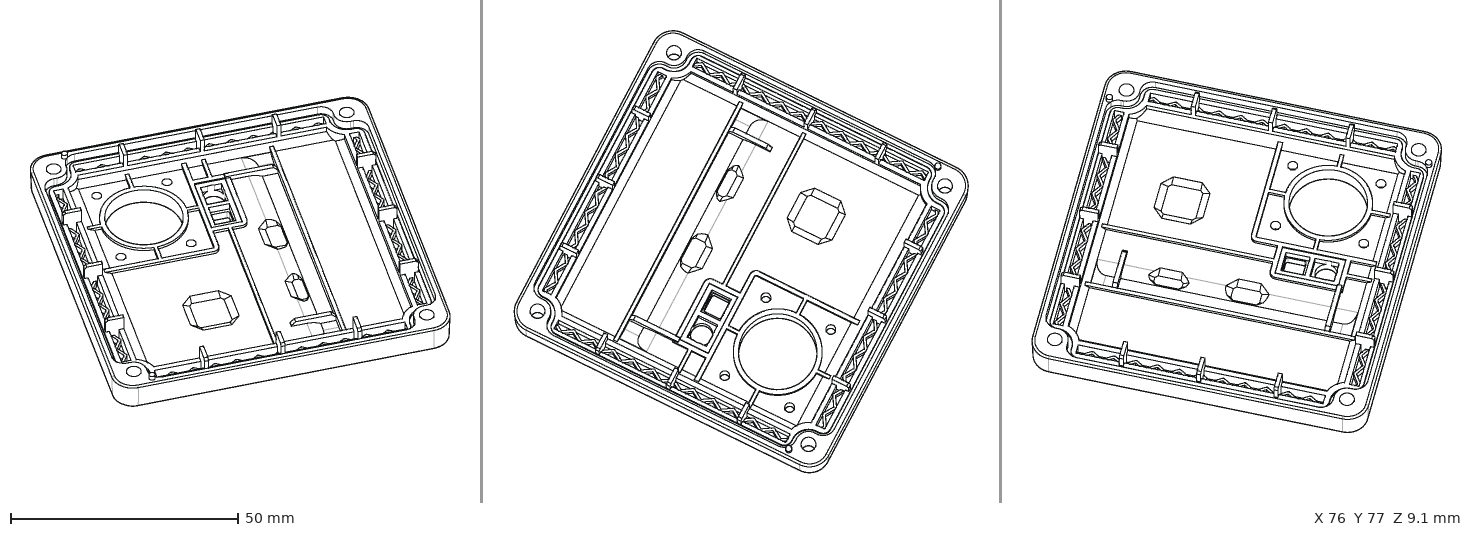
import cadquery as cq
import math

LENGTH_X = 76.0
LENGTH_Y = 77.0
TOTAL_HEIGHT = 9.1
RIM_TOP = 7.2
CORNER_RADIUS = 4.8
BASE_CHAMFER_HEIGHT = 1.3
BASE_CHAMFER_WIDTH = 1.2
WALL_DRAFT = 2.0
RIM_BEVEL_WIDTH = 0.6
RIM_BEVEL_HEIGHT = 0.2

FLOOR_TOP = 3.15
SLOPE_TOP = 4.4
LEDGE_TOP = 5.7
CAVITY_X = 62.5
CAVITY_Y = 63.0
SLOPE_RUN = 1.8
FRONT_SLOPE_RUN = 2.8

SCREW_X = 33.0
SCREW_Y = 33.4
SCREW_RADIUS = 1.6
SCREW_WALL = 2.9
SCREW_COLUMN_RADIUS = 5.4

RIM_WIDTH = 1.6
CHANNEL_WIDTH = 0.9
CHANNEL_FLOOR = 5.1
FLARE_RADIUS = 2.8

TROUGH_WIDTH = 2.15
TROUGH_FLOOR = 2.7
TROUGH_INSET = 1.15
TROUGH_LENGTH_X = 55.9
TROUGH_LENGTH_Y = 57.1
LATTICE_TOP = 4.2
LATTICE_PITCH = 4.9
LATTICE_THICKNESS = 0.6
TAB_LENGTH = 4.15
TAB_THICKNESS = 0.9
TAB_CHAMFER = 0.55
TAB_SPACING = 17.5

PIN_RADIUS = 0.7
PIN_X = 36.1
PIN_Y = -30.1
PIN_TOP = 8.3

FAN_X = -16.5
FAN_Y = -17.4
FAN_BORE_RADIUS = 8.6
FAN_RING_RADIUS = 9.8
FAN_SCREW_SPAN_X = 19.9
FAN_SCREW_SPAN_Y = 16.0
FAN_SCREW_RADIUS = 1.1
FRAME_RIGHT = -2.0
FRAME_TOP_Y = -3.9
FRAME_WALL = 1.1
FRAME_CORNER_RADIUS = 1.55
RIB_THICKNESS = 0.85
RIB_TOP = 3.85

BLOCK_LEFT = -24.9
BLOCK_RIGHT = -8.2
BLOCK_TOP_Y = 4.2
BLOCK_RIM = 1.15
BLOCK_RIM_DROP = 0.3
SOCKET_Y = -0.5
SOCKET_DEPTH_Y = 4.8
ROUND_SOCKET_X = -19.7
SQUARE_SOCKET_X = -13.2
SOCKET_WIDTH = 5.5
ROUND_HOLE_X = -20.1
ROUND_HOLE_RADIUS = 2.5
SQUARE_HOLE_X = -12.85
SQUARE_HOLE_X_SIZE = 4.6
SQUARE_HOLE_Y_SIZE = 4.2
SQUARE_HOLE_CORNER = 0.5
SOCKET_FLOOR = 1.9

CROSS_WALL_Y = 15.55
CROSS_WALL_THICKNESS = 0.9
CROSS_WALL_TOP = 3.85
STRIP_EDGE_Y = 11.55
STRIP_RAMP_END_Y = 8.4
STRIP_DROP = 0.85
STRIP_FLAT_HALF = 26.8
STRIP_HALF = 29.4
STRIP_OVERRUN = 0.8
RAIL_THICKNESS = 1.1
RAIL_X = 24.0
RAIL_TOP = 4.3
RAIL_BEVEL = 1.0
RIGHT_RAIL_END_Y = 4.85

PAD_X = 15.0
PAD_Y = -10.85
PAD_SIZE = 11.1
PAD_DEPTH = 0.8
NOTCH_TOP_Y = 11.25
POCKET_SLOPE = 1.6
POCKET_CORNER = 2.3
POCKET_FLOOR_CORNER = 0.6
NOTCHES = [(-4.5, 9.7, 6.1), (13.0, 9.6, 7.3)]


def box(x0, x1, y0, y1, z0, z1):
    """Upright block between the given limits."""
    return cq.Workplane("XY").box(x1 - x0, y1 - y0, z1 - z0, centered=False).translate((x0, y0, z0))


def cylinder(x, y, radius, z0, z1):
    """Upright cylinder."""
    return cq.Workplane("XY", origin=(x, y, z0)).circle(radius).extrude(z1 - z0)


def screw_points():
    return [(sx * SCREW_X, sy * SCREW_Y) for sx in (-1, 1) for sy in (-1, 1)]


def outer_block():
    """Rounded block whose side walls lean in slightly towards the base."""
    wall_height = RIM_TOP - RIM_BEVEL_HEIGHT
    downward = cq.Plane(origin=(0, 0, wall_height), xDir=(1, 0, 0), normal=(0, 0, -1))
    outline = cq.Sketch().rect(LENGTH_X, LENGTH_Y).vertices().fillet(CORNER_RADIUS)
    wall = cq.Workplane(downward).placeSketch(outline).extrude(wall_height, taper=WALL_DRAFT)
    wall = wall.faces("<Z").chamfer(BASE_CHAMFER_HEIGHT, BASE_CHAMFER_WIDTH)
    rim_angle = math.degrees(math.atan2(RIM_BEVEL_WIDTH, RIM_BEVEL_HEIGHT))
    rim = cq.Workplane("XY", origin=(0, 0, wall_height)).placeSketch(outline)
    return wall.union(rim.extrude(RIM_BEVEL_HEIGHT, taper=rim_angle))


def notched_opening(inset, z0):
    """Rim opening whose corners step inwards around the screw holes, shrunk by inset."""
    half_x = LENGTH_X / 2 - RIM_WIDTH - inset
    half_y = LENGTH_Y / 2 - RIM_WIDTH - inset
    notch_x = SCREW_X - SCREW_WALL - inset
    notch_y = SCREW_Y - SCREW_WALL - inset
    wide = box(-half_x, half_x, -notch_y, notch_y, z0, RIM_TOP)
    tall = box(-notch_x, notch_x, -half_y, half_y, z0, RIM_TOP)
    cross = wide.union(tall)

    def edges_within(x0, x1, y0, y1):
        margin = 0.1
        return cq.selectors.BoxSelector(
            (x0 - margin, y0 - margin, z0), (x1 + margin, y1 + margin, RIM_TOP)
        )

    nooks = edges_within(-notch_x, notch_x, -notch_y, notch_y)
    cross = cross.edges("|Z").edges(nooks).fillet(SCREW_WALL + inset)
    tips = (
        edges_within(-half_x, -half_x, -notch_y, notch_y)
        + edges_within(half_x, half_x, -notch_y, notch_y)
        + edges_within(-notch_x, notch_x, half_y, half_y)
        + edges_within(-notch_x, notch_x, -half_y, -half_y)
    )
    return cross.edges("|Z").edges(tips).fillet(FLARE_RADIUS - inset)


def seal_channel():
    opening = notched_opening(0, LEDGE_TOP)
    channel = notched_opening(0, CHANNEL_FLOOR).cut(notched_opening(CHANNEL_WIDTH, CHANNEL_FLOOR))
    return opening.union(channel)


def cavity():
    """Main recess with sloped lower walls, kept clear of the screw columns."""
    upper = cq.Workplane("XY", origin=(0, 0, SLOPE_TOP)).rect(CAVITY_X, CAVITY_Y)
    upper = upper.extrude(RIM_TOP - SLOPE_TOP)
    slope_shift = (FRONT_SLOPE_RUN - SLOPE_RUN) / 2
    lower = (
        cq.Workplane("XY", origin=(0, 0, FLOOR_TOP))
        .center(0, slope_shift)
        .rect(CAVITY_X - 2 * SLOPE_RUN, CAVITY_Y - SLOPE_RUN - FRONT_SLOPE_RUN)
        .workplane(offset=SLOPE_TOP - FLOOR_TOP)
        .center(0, -slope_shift)
        .rect(CAVITY_X, CAVITY_Y)
        .loft(ruled=True)
    )
    recess = upper.union(lower)
    for x, y in screw_points():
        recess = recess.cut(cylinder(x, y, SCREW_COLUMN_RADIUS, 0, RIM_TOP))
    return recess


def zigzag(length):
    """Zigzag web along X, centred on the origin, with a valley or peak every half pitch."""
    half_pitch = LATTICE_PITCH / 2
    steps = math.ceil(length / 2 / half_pitch)
    reach = (TROUGH_WIDTH - LATTICE_THICKNESS) / 2
    middle = [(i * half_pitch, reach if i % 2 else -reach) for i in range(-steps, steps + 1)]
    half_web = LATTICE_THICKNESS / 2 * math.hypot(half_pitch, 2 * reach) / half_pitch
    upper = [(x, y + half_web) for x, y in middle]
    lower = [(x, y - half_web) for x, y in reversed(middle)]
    web = cq.Workplane("XY", origin=(0, 0, TROUGH_FLOOR)).polyline(upper + lower).close()
    return web.extrude(LATTICE_TOP - TROUGH_FLOOR)


def lattice_void(length):
    """Trough along X with the zigzag web left standing in it."""
    trough = box(
        -length / 2, length / 2, -TROUGH_WIDTH / 2, TROUGH_WIDTH / 2, TROUGH_FLOOR, LEDGE_TOP
    )
    return trough.cut(zigzag(length))


def cross_tabs():
    """Three tall tabs, spaced along X, that bridge one trough."""
    tabs = cq.Workplane("XY")
    half = TAB_THICKNESS / 2
    for i in (-1, 0, 1):
        x = i * TAB_SPACING
        tab = box(x - half, x + half, 0, TAB_LENGTH, TROUGH_FLOOR, TOTAL_HEIGHT)
        tabs = tabs.union(tab.edges(">Z and >Y").chamfer(TAB_CHAMFER))
    return tabs


def around_sides(long_x, long_y):
    """Place a shape on the +Y and -Y sides and another on the +X and -X sides."""
    trough_offset = TROUGH_INSET + TROUGH_WIDTH / 2
    back = long_x.translate((0, CAVITY_Y / 2 + trough_offset, 0))
    right = long_y.translate((0, CAVITY_X / 2 + trough_offset, 0)).rotate((0, 0, 0), (0, 0, 1), -90)
    return back.union(back.mirror("XZ")).union(right).union(right.mirror("YZ"))


def sunken_strip():
    """Lower floor behind the curved ramp, with curved ends."""
    bottom = FLOOR_TOP - STRIP_DROP
    back_y = CROSS_WALL_Y
    run = STRIP_EDGE_Y - STRIP_RAMP_END_Y
    radius = (run**2 + STRIP_DROP**2) / (2 * STRIP_DROP)
    end_run = STRIP_HALF - STRIP_FLAT_HALF
    end_radius = (end_run**2 + STRIP_DROP**2) / (2 * STRIP_DROP)
    ramp = (
        cq.Workplane("YZ", origin=(-STRIP_HALF, 0, 0))
        .moveTo(STRIP_RAMP_END_Y, FLOOR_TOP)
        .radiusArc((STRIP_EDGE_Y, bottom), radius)
        .lineTo(back_y, bottom)
        .lineTo(back_y, FLOOR_TOP)
        .close()
        .extrude(2 * STRIP_HALF)
    )
    span = (
        cq.Workplane("XZ", origin=(0, back_y + STRIP_OVERRUN, 0))
        .moveTo(-STRIP_HALF, FLOOR_TOP)
        .radiusArc((-STRIP_FLAT_HALF, bottom), -end_radius)
        .lineTo(STRIP_FLAT_HALF, bottom)
        .radiusArc((STRIP_HALF, FLOOR_TOP), -end_radius)
        .close()
        .extrude(back_y - STRIP_RAMP_END_Y + 2 * STRIP_OVERRUN)
    )
    return ramp.intersect(span)


def sloped_pocket(x, y, size_x, size_y, depth):
    """Recess in the floor with cut corners and walls that slope inwards."""
    def cut_corner_outline(half_x, half_y, corner):
        inner_x = half_x - corner
        inner_y = half_y - corner
        right = [(inner_x, -half_y), (half_x, -inner_y), (half_x, inner_y), (inner_x, half_y)]
        left = [(-px, py) for px, py in reversed(right)]
        return right + left

    return (
        cq.Workplane("XY", origin=(x, y, FLOOR_TOP - depth))
        .polyline(cut_corner_outline(size_x / 2 - POCKET_SLOPE, size_y / 2 - POCKET_SLOPE, POCKET_FLOOR_CORNER))
        .close()
        .workplane(offset=depth)
        .polyline(cut_corner_outline(size_x / 2, size_y / 2, POCKET_CORNER))
        .close()
        .loft(ruled=True)
    )


def floor_pockets():
    """The square pad recess and the two notches that open into the sunken strip."""
    pockets = sloped_pocket(PAD_X, PAD_Y, PAD_SIZE, PAD_SIZE, PAD_DEPTH)
    for x, width, low_y in NOTCHES:
        length = NOTCH_TOP_Y + POCKET_SLOPE - low_y
        pockets = pockets.union(sloped_pocket(x, low_y + length / 2, width, length, STRIP_DROP))
    return pockets


def fan_frame():
    """Corner frame, ring and four spokes around the fan bore."""
    left = -CAVITY_X / 2
    low = -CAVITY_Y / 2
    frame = box(left, FRAME_RIGHT, low, FRAME_TOP_Y, FLOOR_TOP, RIB_TOP)
    frame = frame.edges("|Z and >X and >Y").fillet(FRAME_CORNER_RADIUS)
    inner = box(left, FRAME_RIGHT - FRAME_WALL, low, FRAME_TOP_Y - FRAME_WALL, FLOOR_TOP, RIB_TOP)
    inner = inner.edges("|Z and >X and >Y").fillet(FRAME_CORNER_RADIUS - FRAME_WALL)
    frame = frame.cut(inner)
    half = RIB_THICKNESS / 2
    frame = frame.union(box(left, FRAME_RIGHT - half, FAN_Y - half, FAN_Y + half, FLOOR_TOP, RIB_TOP))
    frame = frame.union(box(FAN_X - half, FAN_X + half, low, FRAME_TOP_Y - half, FLOOR_TOP, RIB_TOP))
    return frame.union(cylinder(FAN_X, FAN_Y, FAN_RING_RADIUS, FLOOR_TOP, RIB_TOP))


def fan_openings():
    """Fan bore and its four screw holes."""
    holes = cylinder(FAN_X, FAN_Y, FAN_BORE_RADIUS, 0, RIB_TOP)
    for sx in (-0.5, 0.5):
        for sy in (-0.5, 0.5):
            x = FAN_X + sx * FAN_SCREW_SPAN_X
            y = FAN_Y + sy * FAN_SCREW_SPAN_Y
            holes = holes.union(cylinder(x, y, FAN_SCREW_RADIUS, 0, RIB_TOP))
    return holes


def connector_block():
    """Raised block for the two connectors, with a slightly higher rim."""
    block = box(BLOCK_LEFT, BLOCK_RIGHT, FRAME_TOP_Y, BLOCK_TOP_Y, FLOOR_TOP, RIB_TOP)
    block = block.edges("|Z and >X and >Y").fillet(FRAME_CORNER_RADIUS)
    step = box(
        BLOCK_LEFT + BLOCK_RIM, BLOCK_RIGHT - BLOCK_RIM,
        FRAME_TOP_Y, BLOCK_TOP_Y - BLOCK_RIM,
        RIB_TOP - BLOCK_RIM_DROP, RIB_TOP,
    )
    return block.cut(step)


def connector_openings():
    """Two square sockets, one with a round and one with a square through hole."""
    sockets = cq.Workplane("XY")
    for x in (ROUND_SOCKET_X, SQUARE_SOCKET_X):
        sockets = sockets.union(
            box(
                x - SOCKET_WIDTH / 2, x + SOCKET_WIDTH / 2,
                SOCKET_Y - SOCKET_DEPTH_Y / 2, SOCKET_Y + SOCKET_DEPTH_Y / 2,
                SOCKET_FLOOR, RIB_TOP,
            )
        )
    sockets = sockets.union(cylinder(ROUND_HOLE_X, SOCKET_Y, ROUND_HOLE_RADIUS, 0, RIB_TOP))
    square = cq.Workplane("XY", origin=(SQUARE_HOLE_X, SOCKET_Y, 0))
    square = square.rect(SQUARE_HOLE_X_SIZE, SQUARE_HOLE_Y_SIZE).extrude(RIB_TOP)
    return sockets.union(square.edges("|Z").fillet(SQUARE_HOLE_CORNER))


def floor_ribs():
    """Long rib across the middle and the cross wall behind the sunken strip."""
    half = RIB_THICKNESS / 2
    left_rib = box(-CAVITY_X / 2, BLOCK_LEFT, -half, half, FLOOR_TOP, RIB_TOP)
    right_rib = box(BLOCK_RIGHT, CAVITY_X / 2, -half, half, FLOOR_TOP, RIB_TOP)
    half_wall = CROSS_WALL_THICKNESS / 2
    wall_low = CROSS_WALL_Y - half_wall
    wall_high = CROSS_WALL_Y + half_wall
    cross_wall = box(-CAVITY_X / 2, CAVITY_X / 2, wall_low, wall_high, FLOOR_TOP - STRIP_DROP, CROSS_WALL_TOP)
    return left_rib.union(right_rib).union(cross_wall)


def guide_rail(x, end_y, bevelled_ends):
    """Rail running from the cross wall to end_y, with its top bevelled at the named ends."""
    start_y = CROSS_WALL_Y - CROSS_WALL_THICKNESS / 2
    half = RAIL_THICKNESS / 2
    rail = box(x - half, x + half, end_y, start_y, FLOOR_TOP - STRIP_DROP, RAIL_TOP)
    for end in bevelled_ends:
        rail = rail.faces(">Z").edges(end).chamfer(RAIL_BEVEL)
    return rail


result = outer_block().cut(cavity()).cut(seal_channel())
result = result.cut(around_sides(lattice_void(TROUGH_LENGTH_X), lattice_void(TROUGH_LENGTH_Y)))
side_tabs = cross_tabs().translate((0, -TROUGH_INSET - TROUGH_WIDTH / 2, 0))
result = result.union(around_sides(side_tabs, side_tabs))

result = result.cut(sunken_strip()).cut(floor_pockets())
result = result.union(floor_ribs())
result = result.union(guide_rail(-RAIL_X, BLOCK_TOP_Y - BLOCK_RIM, [">Y"]))
result = result.union(guide_rail(RAIL_X, RIGHT_RAIL_END_Y, [">Y", "<Y"]))
result = result.union(fan_frame()).union(connector_block())
result = result.cut(fan_openings()).cut(connector_openings())

for side in (-1, 1):
    result = result.union(cylinder(side * PIN_X, PIN_Y, PIN_RADIUS, CHANNEL_FLOOR, PIN_TOP))
for x, y in screw_points():
    result = result.cut(cylinder(x, y, SCREW_RADIUS, 0, RIM_TOP))